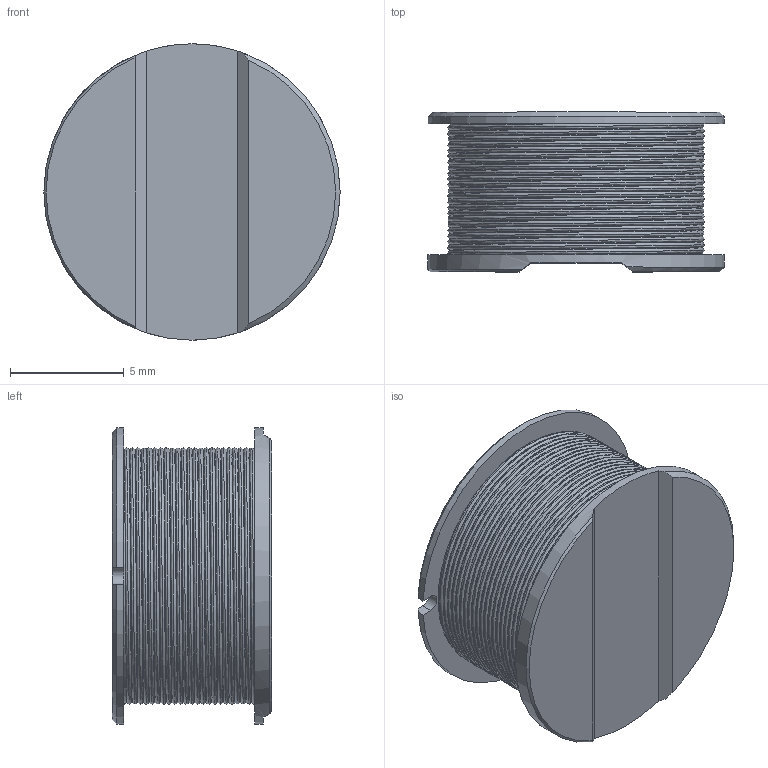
import cadquery as cq
import math

SPOOL_LENGTH = 7.0
FLANGE_RADIUS = 6.5
FRONT_THICKNESS = 0.75
BACK_THICKNESS = 0.5

FRONT_CHAMFER_LEFT = 0.1
FRONT_CHAMFER_RIGHT = 0.2
BACK_CHAMFER = 0.2

CHANNEL_FLOOR_WIDTH = 4.0
CHANNEL_MOUTH_WIDTH = 5.0
CHANNEL_DEPTH = FRONT_THICKNESS / 2

WIRE_DIAMETER = 0.25
WIRE_PATH_RADIUS = 5.5
CORE_RADIUS = 5.56
WIRE_ROOT_DEPTH = 0.02

NOTCH_WIDTH = 0.75

wire_radius = WIRE_DIAMETER / 2
winding_radius = WIRE_PATH_RADIUS + wire_radius
winding_start = FRONT_THICKNESS
winding_end = SPOOL_LENGTH - BACK_THICKNESS
winding_length = winding_end - winding_start


def cylinder_along_y(radius, start, end):
    """Solid cylinder on the Y axis between two Y positions."""
    return cq.Workplane("XZ", origin=(0, start, 0)).circle(radius).extrude(start - end)


def half_front_flange(chamfer, side):
    """Half of the front flange on the -X (side = -1) or +X (side = 1) side, chamfered at the front."""
    disc = cylinder_along_y(FLANGE_RADIUS, 0, FRONT_THICKNESS).faces("<Y").chamfer(chamfer)
    half_space = cq.Workplane("XY").box(2 * FLANGE_RADIUS, 4 * FRONT_THICKNESS, 4 * FLANGE_RADIUS)
    return disc.intersect(half_space.translate((side * FLANGE_RADIUS, 0, 0)))


def channel_cutter():
    """Trapezoidal bar along Z that opens towards the front face."""
    floor_half = CHANNEL_FLOOR_WIDTH / 2
    mouth_half = CHANNEL_MOUTH_WIDTH / 2
    outline = [
        (-mouth_half, 0),
        (-floor_half, CHANNEL_DEPTH),
        (floor_half, CHANNEL_DEPTH),
        (mouth_half, 0),
    ]
    return cq.Workplane("XY").polyline(outline).close().extrude(FLANGE_RADIUS, both=True)


def front_flange():
    left = half_front_flange(FRONT_CHAMFER_LEFT, -1)
    right = half_front_flange(FRONT_CHAMFER_RIGHT, 1)
    return left.union(right).cut(channel_cutter())


def back_flange():
    """Chamfered disc with a U-shaped notch on its -X side."""
    disc = cylinder_along_y(FLANGE_RADIUS, winding_end, SPOOL_LENGTH).faces(">Y").chamfer(BACK_CHAMFER)
    notch_radius = NOTCH_WIDTH / 2
    round_centre_x = -(winding_radius + notch_radius)
    notch_round = cylinder_along_y(notch_radius, winding_end, SPOOL_LENGTH)
    notch_mouth = cq.Workplane("XY").box(
        FLANGE_RADIUS, BACK_THICKNESS, NOTCH_WIDTH, centered=(False, False, True)
    )
    return (
        disc
        .cut(notch_round.translate((round_centre_x, 0, 0)))
        .cut(notch_mouth.translate((round_centre_x - FLANGE_RADIUS, winding_end, 0)))
    )


def wire():
    """Outer part of the right-handed helical wire, which starts on the -Z side of the front flange."""
    helix = cq.Wire.makeHelix(
        WIRE_DIAMETER, winding_length, WIRE_PATH_RADIUS,
        center=cq.Vector(0, winding_start, 0), dir=cq.Vector(0, 1, 0),
    )
    section_plane = cq.Plane(origin=(0, winding_start, 0), xDir=(0, 0, 1), normal=(1, 0, 0))
    root_height = CORE_RADIUS - WIRE_ROOT_DEPTH - WIRE_PATH_RADIUS
    root_angle = math.acos(root_height / wire_radius)

    def wire_point(angle):
        """Point on the wire outline at an angle from its outermost point."""
        return (WIRE_PATH_RADIUS + wire_radius * math.cos(angle), wire_radius * math.sin(angle))

    section = (
        cq.Workplane(section_plane)
        .moveTo(*wire_point(-root_angle))
        .threePointArc(wire_point(-root_angle / 2), wire_point(0))
        .threePointArc(wire_point(root_angle / 2), wire_point(root_angle))
        .close()
    )
    coil = section.sweep(cq.Workplane(helix), isFrenet=True)
    return coil.rotate((0, 0, 0), (0, 1, 0), 180)


core = cylinder_along_y(CORE_RADIUS, winding_start, winding_end)
flanged_core = core.union(front_flange()).union(back_flange())
result = flanged_core.union(wire(), clean=False)